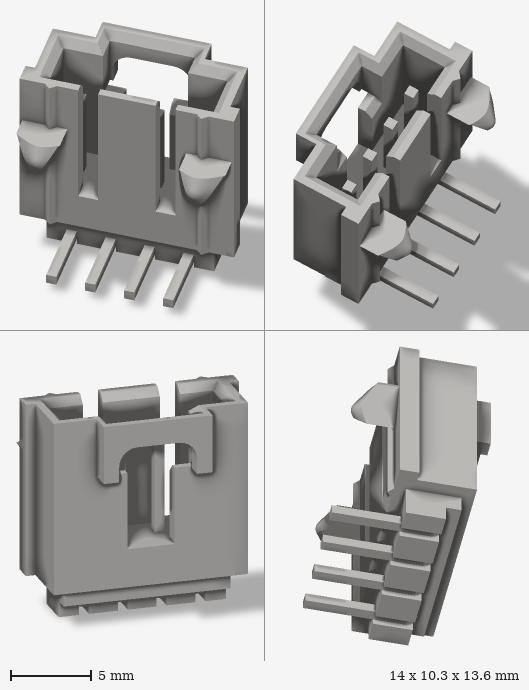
import cadquery as cq
import math


pin_count = 4
pin_pitch = 2.54
pin_width = 0.66
tail_bottom = 0.40
tail_end_y = -6.26
pin_height_above_floor = 6.0

base_width = 10.94
base_front_y = -1.80
base_back_y = 1.75
base_foot_back_y = 0.74
base_foot_height = tail_bottom + pin_width

total_height = 13.59
housing_bottom = 2.19
housing_width = 12.72
housing_depth = 5.08
wall = 1.02
cavity_floor = 4.72
rim_chamfer = 0.51
flange_width = 13.97
flange_depth = 1.26

latch_width = 7.12
latch_back_y = 4.03
latch_bottom = 9.80
latch_cavity_width = 5.54
latch_window_width = 5.10
latch_window_top = 12.0
latch_window_radius = 1.2
back_slot_width = 3.10

tongue_width = 3.74
front_slot_width = 1.30

rib_x = 4.95
rib_width = 0.79
rib_depth = 0.35

peg_x = 5.35
peg_top = 10.15
peg_width = 2.94
peg_height = 2.38
peg_lip_width = 0.10
peg_lip_height = 0.05
peg_tip_x = 5.12
peg_tip_z = 9.15
peg_tip_y = -5.24
peg_cone_half_angle = 52.0
peg_cap_radius = 0.35

housing_front_y = -housing_depth / 2
housing_back_y = housing_depth / 2
cavity_width = housing_width - 2 * wall
cavity_front_y = housing_front_y + wall
cavity_back_y = housing_back_y - wall
sides = (-1, 1)


def block(x_range, y_range, z_range):
    """Axis-aligned box between the given limits."""
    (x0, x1), (y0, y1), (z0, z1) = x_range, y_range, z_range
    return cq.Workplane("XY").box(x1 - x0, y1 - y0, z1 - z0, centered=False).translate((x0, y0, z0))


def centred_block(width, y_range, z_range):
    """Box that is symmetric about the YZ plane."""
    return block((-width / 2, width / 2), y_range, z_range)


def make_shell():
    """Solid outline of the housing: main body, front flange and latch box."""
    heights = (housing_bottom, total_height)
    body = centred_block(housing_width, (housing_front_y, housing_back_y), heights)
    flange = centred_block(flange_width, (housing_front_y, housing_front_y + flange_depth), heights)
    latch = centred_block(latch_width, (cavity_back_y, latch_back_y), (latch_bottom, total_height))
    return body.union(flange).union(latch)


def make_flare(width, front_y, back_y):
    """Rectangular funnel at the rim that narrows at 45 degrees to the given opening."""
    return (
        cq.Workplane("XY", origin=(0, (front_y + back_y) / 2, total_height))
        .rect(width + 2 * rim_chamfer, back_y - front_y + 2 * rim_chamfer)
        .extrude(-rim_chamfer, taper=45)
    )


def make_cavity():
    """Mating cavity, widened into the latch box and flared at the rim."""
    latch_cavity_back_y = latch_back_y - wall
    main = centred_block(cavity_width, (cavity_front_y, cavity_back_y), (cavity_floor, total_height))
    latch = centred_block(
        latch_cavity_width, (cavity_back_y, latch_cavity_back_y), (latch_bottom, total_height)
    )
    main_flare = make_flare(cavity_width, cavity_front_y, cavity_back_y)
    latch_flare = make_flare(latch_cavity_width, cavity_front_y, latch_cavity_back_y)
    return main.union(latch).union(main_flare).union(latch_flare)


def make_ledge_chamfer():
    """Bevel on the cavity edge of the lowered back wall inside the latch box."""
    return (
        cq.Workplane("YZ", origin=(-latch_cavity_width / 2, 0, 0))
        .polyline([
            (cavity_back_y, latch_bottom - rim_chamfer),
            (cavity_back_y + rim_chamfer, latch_bottom),
            (cavity_back_y, latch_bottom),
        ])
        .close()
        .extrude(latch_cavity_width)
    )


def make_latch_window():
    """Round-cornered opening through the back of the latch box."""
    window = centred_block(
        latch_window_width, (housing_back_y, latch_back_y), (latch_bottom, latch_window_top)
    )
    return window.edges("|Y and >Z").fillet(latch_window_radius)


def make_wall_slots():
    """Central slot in the back wall and two slots in the front wall, down to the cavity floor."""
    slots = centred_block(back_slot_width, (cavity_back_y, housing_back_y), (cavity_floor, latch_bottom))
    for side in sides:
        centre_x = side * (tongue_width + front_slot_width) / 2
        slot = centred_block(
            front_slot_width, (housing_front_y, cavity_front_y), (cavity_floor, total_height)
        )
        slots = slots.union(slot.translate((centre_x, 0, 0)))
    return slots


def make_base():
    """Stepped base with an open groove under each pin tail."""
    upper = centred_block(base_width, (base_front_y, base_back_y), (base_foot_height, housing_bottom))
    foot = centred_block(base_width, (base_front_y, base_foot_back_y), (0, base_foot_height))
    base = upper.union(foot)
    groove = centred_block(pin_width, (base_front_y, base_foot_back_y), (0, base_foot_height))
    for x in pin_positions():
        base = base.cut(groove.translate((x, 0, 0)))
    return base


def pin_positions():
    """X positions of the pins, centred on the origin."""
    return [(i - (pin_count - 1) / 2) * pin_pitch for i in range(pin_count)]


def make_pin():
    """Right-angle square pin: a post in the cavity and a tail towards the front."""
    half = pin_width / 2
    post = centred_block(pin_width, (-half, half), (tail_bottom, cavity_floor + pin_height_above_floor))
    tail = centred_block(pin_width, (tail_end_y, half), (tail_bottom, tail_bottom + pin_width))
    return post.union(tail)


def make_rib(side):
    """Full-height V rib on the front face."""
    x = side * rib_x
    return (
        cq.Workplane("XY", origin=(0, 0, housing_bottom))
        .polyline([
            (x - rib_width / 2, housing_front_y),
            (x, housing_front_y - rib_depth),
            (x + rib_width / 2, housing_front_y),
        ])
        .close()
        .extrude(total_height - housing_bottom)
    )


def make_peg(side):
    """Triangular peg with thin lips along its top edges, trimmed by an offset round-nosed cone."""
    x = side * peg_x
    flank_half_width = peg_width / 2 - peg_lip_width
    flank_top = peg_top - peg_lip_height
    prism = (
        cq.Workplane("XZ", origin=(0, housing_front_y, 0))
        .polyline([
            (x - peg_width / 2, peg_top),
            (x + peg_width / 2, peg_top),
            (x + flank_half_width, flank_top),
            (x, peg_top - peg_height),
            (x - flank_half_width, flank_top),
        ])
        .close()
        .extrude(housing_front_y - peg_tip_y)
    )
    angle = math.radians(peg_cone_half_angle)
    nose_radius = peg_cap_radius / math.cos(angle)
    cap_y = peg_tip_y + nose_radius * (1 - math.sin(angle))
    cone_radius = peg_cap_radius + (housing_front_y - cap_y) * math.tan(angle)
    arc_angle = (angle + math.pi / 2) / 2
    arc_middle = (nose_radius * math.cos(arc_angle), peg_tip_y + nose_radius * (1 - math.sin(arc_angle)))
    cone = (
        cq.Workplane("XY")
        .moveTo(0, peg_tip_y)
        .threePointArc(arc_middle, (peg_cap_radius, cap_y))
        .lineTo(cone_radius, housing_front_y)
        .lineTo(0, housing_front_y)
        .close()
        .revolve(360, (0, 0, 0), (0, 1, 0))
        .translate((side * peg_tip_x, 0, peg_tip_z))
    )
    return prism.intersect(cone)


result = make_shell().cut(make_cavity()).cut(make_ledge_chamfer())
result = result.cut(make_latch_window()).cut(make_wall_slots()).union(make_base())
for pin_x in pin_positions():
    result = result.union(make_pin().translate((pin_x, 0, 0)))
for side in sides:
    result = result.union(make_rib(side)).union(make_peg(side))